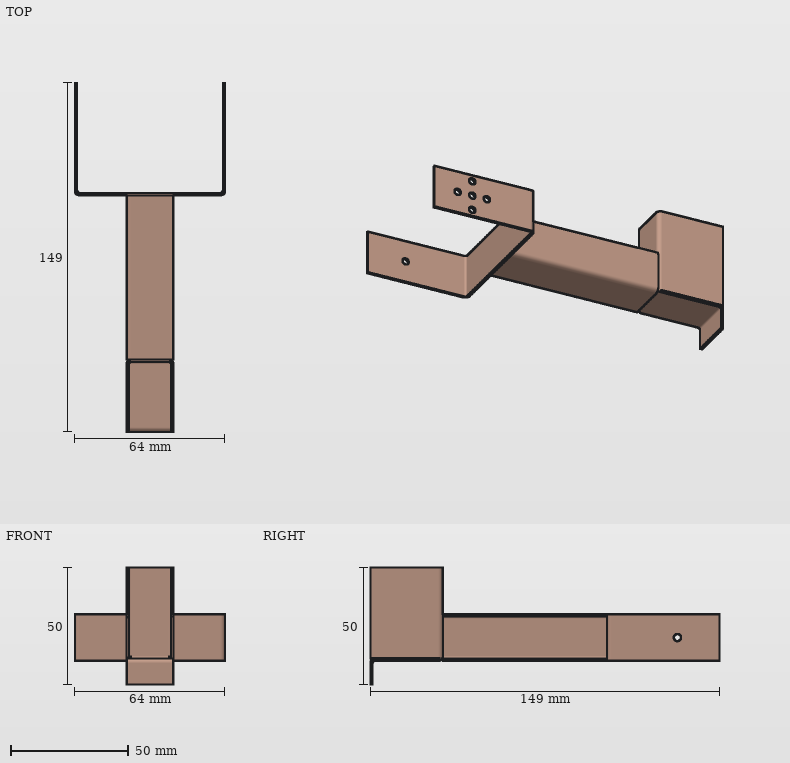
import cadquery as cq
import math

SHEET = 1.0
INNER_BEND = SHEET
OUTER_BEND = INNER_BEND + SHEET

TOTAL_LENGTH = 149.0
TOTAL_HEIGHT = 50.0
STRIP_WIDTH = 20.0
FORK_WIDTH = 64.0
FORK_DEPTH = 48.0
TRAY_DEPTH = 31.0
WALL_GAP = 0.1
TRAY_HEIGHT = 2 * STRIP_WIDTH
TAB_DROP = TOTAL_HEIGHT - TRAY_HEIGHT
ARM_LENGTH = TOTAL_LENGTH - FORK_DEPTH - TRAY_DEPTH

FORK_BACK_Y = 0.0
TRAY_BACK_Y = FORK_BACK_Y - ARM_LENGTH
TRAY_FRONT_Y = TRAY_BACK_Y - TRAY_DEPTH

HOLE_DIAMETER = 3.0
HOLE_SPACING = 7.0
HOLE_FROM_TIP = 18.0


def block(x_range, y_range, z_range):
    """Axis-aligned box between the given limits."""
    lows, highs = zip(x_range, y_range, z_range)
    size = [high - low for low, high in zip(lows, highs)]
    return cq.Workplane("XY").box(*size, centered=False).translate(lows)


def folded_channel(x_range, y_range, z_range, bent_edges, wall_pairs):
    """U-shaped channel: a box with two rounded edges, hollowed through its open sides.

    `bent_edges` selects the two folded edges; `wall_pairs` gives, for each axis, the
    wall thickness at the lower and upper limits (0 leaves that side open).
    """
    outer = block(x_range, y_range, z_range).edges(bent_edges).fillet(OUTER_BEND)
    inner_ranges = [
        (low + low_wall, high - high_wall)
        for (low, high), (low_wall, high_wall) in zip((x_range, y_range, z_range), wall_pairs)
    ]
    inner = block(*inner_ranges).edges(bent_edges).fillet(INNER_BEND)
    return outer.cut(inner)


def fork_hole(y, z, x_start, length):
    """Cylinder along X that drills one fork hole."""
    return (
        cq.Workplane("YZ", origin=(x_start, y, z))
        .circle(HOLE_DIAMETER / 2)
        .extrude(length)
    )


def make_fork():
    """U-shaped fork opening towards +Y, with a hole cross in its -X leg."""
    half_width = FORK_WIDTH / 2
    tip_y = FORK_BACK_Y + FORK_DEPTH
    fork = folded_channel(
        (-half_width, half_width),
        (FORK_BACK_Y, tip_y),
        (0, STRIP_WIDTH),
        bent_edges="|Z and <Y",
        wall_pairs=((SHEET, SHEET), (SHEET, 0), (0, 0)),
    )
    hole_y = tip_y - HOLE_FROM_TIP
    hole_z = STRIP_WIDTH / 2

    fork = fork.cut(fork_hole(hole_y, hole_z, -half_width, FORK_WIDTH))

    for y_step, z_step in ((1, 0), (-1, 0), (0, 1), (0, -1)):
        y = hole_y + y_step * HOLE_SPACING
        z = hole_z + z_step * HOLE_SPACING
        fork = fork.cut(fork_hole(y, z, -half_width, SHEET))
    return fork


def make_arm():
    """Straight channel opening towards +X, between the tray and the fork."""
    half_width = STRIP_WIDTH / 2
    return folded_channel(
        (-half_width, half_width),
        (TRAY_BACK_Y, FORK_BACK_Y),
        (0, STRIP_WIDTH),
        bent_edges="|Y and <X",
        wall_pairs=((SHEET, 0), (0, 0), (SHEET, SHEET)),
    )


def tray_strip():
    """Back wall, floor and front tab as one Z-shaped strip across the full tray width."""
    half_width = STRIP_WIDTH / 2
    diagonal = math.cos(math.radians(45))
    back_bend_y = TRAY_BACK_Y - OUTER_BEND
    front_bend_y = TRAY_FRONT_Y + OUTER_BEND
    back_bend_z = OUTER_BEND
    front_bend_z = SHEET - OUTER_BEND
    outer_leg = OUTER_BEND * diagonal
    inner_leg = INNER_BEND * diagonal
    return (
        cq.Workplane("YZ", origin=(-half_width, 0, 0))
        .moveTo(TRAY_BACK_Y, TRAY_HEIGHT)
        .lineTo(TRAY_BACK_Y, back_bend_z)
        .threePointArc((back_bend_y + outer_leg, back_bend_z - outer_leg), (back_bend_y, 0))
        .lineTo(front_bend_y, 0)
        .threePointArc(
            (front_bend_y - inner_leg, front_bend_z + inner_leg),
            (TRAY_FRONT_Y + SHEET, front_bend_z),
        )
        .lineTo(TRAY_FRONT_Y + SHEET, -TAB_DROP)
        .lineTo(TRAY_FRONT_Y, -TAB_DROP)
        .lineTo(TRAY_FRONT_Y, front_bend_z)
        .threePointArc((front_bend_y - outer_leg, front_bend_z + outer_leg), (front_bend_y, SHEET))
        .lineTo(back_bend_y, SHEET)
        .threePointArc(
            (back_bend_y + inner_leg, back_bend_z - inner_leg),
            (TRAY_BACK_Y - SHEET, back_bend_z),
        )
        .lineTo(TRAY_BACK_Y - SHEET, TRAY_HEIGHT)
        .close()
        .extrude(STRIP_WIDTH)
    )


def make_tray():
    """Open-topped tray: back wall, two side walls, floor and a tab folded down in front."""
    half_width = STRIP_WIDTH / 2
    x_range = (-half_width, half_width)
    y_range = (TRAY_FRONT_Y, TRAY_BACK_Y)

    walls = folded_channel(
        x_range,
        y_range,
        (SHEET + WALL_GAP, TRAY_HEIGHT),
        bent_edges="|Z and >Y",
        wall_pairs=((SHEET, SHEET), (0, SHEET), (0, 0)),
    )
    rounded_back = block(x_range, y_range, (0, TRAY_HEIGHT)).edges("|X and >Y and <Z").fillet(OUTER_BEND)
    walls = walls.intersect(rounded_back)

    rounded_sides = block(x_range, y_range, (-TAB_DROP, TRAY_HEIGHT)).edges("|Z and >Y").fillet(OUTER_BEND)
    return tray_strip().intersect(rounded_sides).union(walls)


fork = make_fork()
arm = make_arm()
tray = make_tray()
result = cq.Compound.makeCompound([fork.solids().val(), arm.solids().val(), tray.solids().val()])